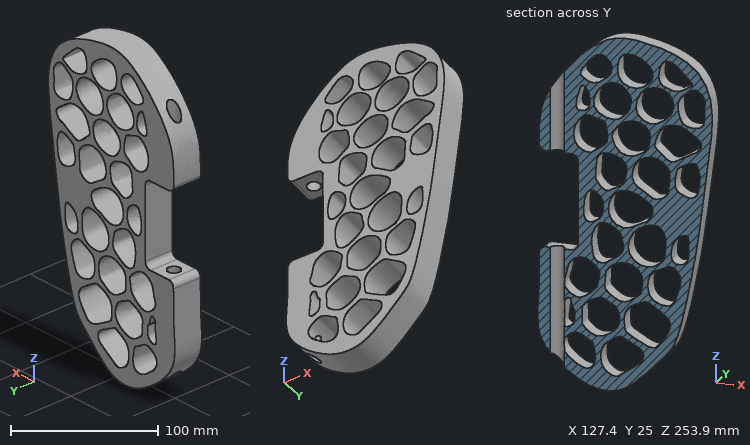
import cadquery as cq

PLATE_THICKNESS = 25.0
FRONT_PLANE = cq.Plane(origin=(0, -PLATE_THICKNESS / 2, 0), xDir=(1, 0, 0), normal=(0, -1, 0))

POINTS_PER_CORNER = 3

OUTLINE_CORNERS = [
    (57.5, 20.0), (68.5, 108.0), (3.0, 131.5), (-29.0, 117.5), (-62.5, 77.5), (-62.5, 35.5),
    (-62.0, -59.0), (-65.3, -100.5), (-11.0, -136.0), (29.5, -98.0), (39.0, -84.0), (51.5, -25.5),
]

NOTCH_FLOOR_X = -34.0
NOTCH_TOP_Z = 39.6
NOTCH_BOTTOM_Z = -28.8
NOTCH_OPEN_X = -80.0
NOTCH_RADIUS = 5.0

ROD_HOLE_DIAMETER = 10.0
ROD_HOLE_X = -49.1
ROD_HOLE_HALF_LENGTH = 150.0

CELLS = [
    [(-6.5, 103.5), (-17.5, 116.5), (-31.0, 102.5), (-33.0, 96.5), (-21.0, 90.5)],
    [(9.0, 116.5), (-5.0, 115.0), (-5.5, 95.0), (11.5, 90.5), (23.5, 104.0)],
    [(47.5, 98.0), (50.0, 100.0), (28.5, 119.0), (22.5, 98.0), (37.5, 92.0)],

    [(-25.5, 84.0), (-29.5, 90.0), (-32.5, 89.0), (-37.0, 71.0), (-25.5, 72.5)],
    [(8.0, 83.5), (-7.0, 97.0), (-21.5, 87.5), (-23.5, 72.5), (-4.5, 65.5)],
    [(37.5, 78.5), (31.5, 94.5), (12.0, 93.5), (6.0, 74.5), (20.5, 65.5)],
    [(58.5, 90.0), (51.5, 97.0), (44.5, 92.5), (37.5, 86.5), (41.0, 68.5), (58.0, 68.5), (57.5, 83.0)],

    [(-14.0, 66.0), (-19.5, 66.5), (-28.5, 70.5), (-37.5, 60.0), (-36.5, 46.5), (-25.5, 41.0),
     (-17.0, 48.0), (-12.0, 51.5)],
    [(18.5, 65.5), (2.5, 70.0), (-12.0, 57.5), (-2.0, 41.0), (18.0, 47.5)],
    [(59.5, 56.0), (45.5, 66.0), (39.0, 69.5), (27.0, 67.5), (20.5, 52.5), (25.0, 49.0), (33.0, 41.5),
     (40.0, 45.0)],

    [(2.0, 40.5), (-20.0, 45.0), (-21.0, 28.0), (-21.5, 23.0), (-13.5, 15.0), (-4.5, 21.0), (0.5, 23.5)],
    [(33.0, 37.0), (21.5, 45.5), (7.5, 40.5), (4.0, 25.0), (16.0, 18.0), (22.0, 13.5), (32.0, 18.0),
     (32.0, 29.5)],
    [(54.5, 46.0), (38.5, 39.0), (37.5, 35.5), (35.5, 21.5), (54.0, 16.0)],

    [(-15.0, 10.5), (-26.0, 17.5), (-30.5, 6.0), (-29.0, -9.0), (-16.5, -4.0)],
    [(26.5, 5.0), (4.0, 20.0), (-10.5, 14.5), (-13.0, -2.0), (0.0, -11.5)],

    [(-2.5, -16.0), (-3.5, -11.5), (-17.5, -4.5), (-25.5, -17.0), (-21.5, -39.5), (0.0, -27.0)],
    [(28.5, -2.0), (6.5, -8.0), (0.5, -25.0), (12.5, -36.5), (30.5, -30.5)],
    [(46.5, -14.5), (45.5, -7.5), (34.5, -13.5), (33.0, -30.5), (46.0, -30.0)],

    [(-17.5, -41.0), (-30.5, -31.5), (-41.0, -37.5), (-42.5, -47.5), (-45.5, -55.0), (-33.5, -64.5),
     (-19.5, -53.5), (-19.5, -47.0)],
    [(13.0, -39.0), (-0.5, -32.0), (-14.5, -39.5), (-14.0, -49.0), (-15.0, -54.5), (-1.5, -63.5),
     (9.0, -56.5), (12.5, -53.5)],
    [(41.5, -39.0), (33.5, -31.5), (26.0, -35.5), (16.5, -40.0), (17.0, -58.0), (34.0, -62.5),
     (38.5, -50.5)],

    [(-40.0, -61.5), (-44.5, -66.0), (-43.5, -70.5), (-46.0, -86.0), (-34.5, -81.0)],
    [(-5.0, -66.0), (-14.0, -62.0), (-18.0, -59.5), (-32.0, -67.0), (-30.5, -76.5), (-31.5, -82.0),
     (-19.0, -90.5), (-3.0, -80.0)],
    [(19.0, -61.5), (14.5, -59.0), (-0.5, -66.5), (-0.5, -81.5), (3.0, -84.5), (20.5, -94.0),
     (27.5, -87.0), (35.5, -72.0)],

    [(-22.5, -93.5), (-26.5, -92.0), (-36.5, -85.5), (-49.5, -98.0), (-31.0, -113.5), (-21.0, -110.0)],
    [(-2.5, -86.5), (-5.0, -87.0), (-17.5, -94.5), (-17.5, -110.0), (-7.5, -116.5), (-2.5, -113.5),
     (19.0, -98.5)],
]


def rounded_loop_points(corners):
    """Points of a smooth loop that touches every polygon side at its midpoint.

    Each corner is rounded by a parabola that starts at the midpoint of the side before it
    and ends at the midpoint of the side after it.
    """
    points = []
    for i, (x, z) in enumerate(corners):
        previous_x, previous_z = corners[i - 1]
        next_x, next_z = corners[(i + 1) % len(corners)]
        for step in range(POINTS_PER_CORNER):
            t = step / POINTS_PER_CORNER
            previous_share = (1 - t) ** 2 / 2
            next_share = t**2 / 2
            corner_share = 1 - previous_share - next_share
            points.append(
                (
                    previous_share * previous_x + corner_share * x + next_share * next_x,
                    previous_share * previous_z + corner_share * z + next_share * next_z,
                )
            )
    return points


def extrude_through(profile):
    """Extrude a closed profile drawn on the front plane to the full plate thickness."""
    return profile.extrude(-PLATE_THICKNESS)


def rounded_prism(corners):
    """Prism through the plate thickness whose section is the rounded loop in the corners."""
    loop = cq.Workplane(FRONT_PLANE).spline(rounded_loop_points(corners), periodic=True).close()
    return extrude_through(loop)


def cut_notch(plate):
    """Rectangular notch in the -X edge with rounded floor and mouth corners."""
    profile = (
        cq.Workplane(FRONT_PLANE)
        .moveTo(NOTCH_OPEN_X, NOTCH_BOTTOM_Z)
        .lineTo(NOTCH_FLOOR_X, NOTCH_BOTTOM_Z)
        .lineTo(NOTCH_FLOOR_X, NOTCH_TOP_Z)
        .lineTo(NOTCH_OPEN_X, NOTCH_TOP_Z)
        .close()
    )
    notch_corners = cq.selectors.BoxSelector(
        (NOTCH_OPEN_X, -PLATE_THICKNESS / 4, NOTCH_BOTTOM_Z - NOTCH_RADIUS),
        (NOTCH_FLOOR_X + NOTCH_RADIUS, PLATE_THICKNESS / 4, NOTCH_TOP_Z + NOTCH_RADIUS),
    )
    return plate.cut(extrude_through(profile)).edges(notch_corners).fillet(NOTCH_RADIUS)


def cut_cells(plate):
    for corners in CELLS:
        plate = plate.cut(rounded_prism(corners))
    return plate


def cut_rod_hole(plate):
    rod = (
        cq.Workplane("XY")
        .center(ROD_HOLE_X, 0)
        .circle(ROD_HOLE_DIAMETER / 2)
        .extrude(ROD_HOLE_HALF_LENGTH, both=True)
    )
    return plate.cut(rod)


result = cut_rod_hole(cut_cells(cut_notch(rounded_prism(OUTLINE_CORNERS))))